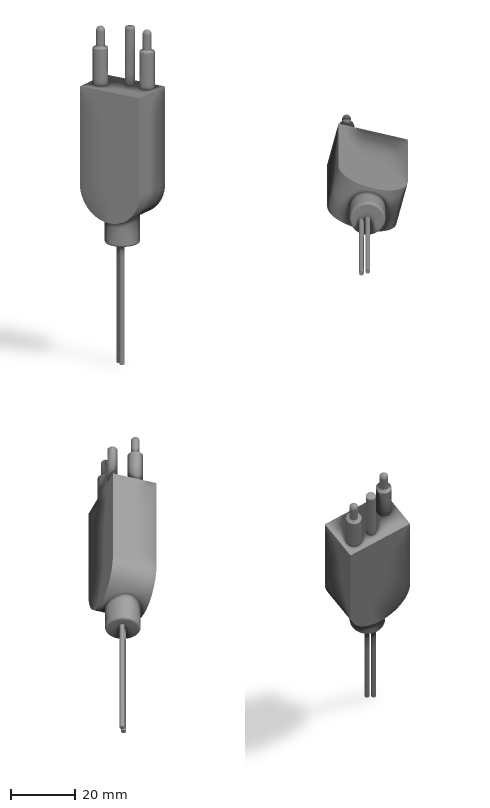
import cadquery as cq
import math

HOUSING_WIDTH = 22.3
HOUSING_DEPTH = 14.5
HOUSING_HEIGHT = 42.9
END_RADIUS = HOUSING_WIDTH / 2

BOOT_DIAMETER = 11.1
BOOT_Y = -0.1
BOOT_DROP = 8.0
BOOT_FILLET = 0.8
BOOT_BOTTOM = -(HOUSING_HEIGHT + BOOT_DROP)

TOTAL_HEIGHT = 109.7
PIN_HEIGHT = 19.0
PIN_ROW_Y = 3.1

SLEEVE_DIAMETER = 4.8
SLEEVE_HEIGHT = 12.0
SHOULDER_RISE = 0.7
TIP_DIAMETER = 2.7
CONTACT_POSITIONS = [(-7.1, -1.6), (7.1, PIN_ROW_Y)]

GUIDE_DIAMETER = 3.2
GUIDE_FILLET = 0.4
GUIDE_X = 0.8

WIRE_DIAMETER = 1.5
WIRE_LENGTH = TOTAL_HEIGHT - PIN_HEIGHT - HOUSING_HEIGHT - BOOT_DROP
WIRE_POSITIONS = [(-1.8, 0.8), (0, -0.3)]


def make_housing():
    arc_start = END_RADIUS - HOUSING_HEIGHT
    return (
        cq.Workplane("XZ")
        .moveTo(-END_RADIUS, 0)
        .lineTo(END_RADIUS, 0)
        .lineTo(END_RADIUS, arc_start)
        .threePointArc((0, -HOUSING_HEIGHT), (-END_RADIUS, arc_start))
        .close()
        .extrude(HOUSING_DEPTH / 2, both=True)
    )


def make_boot(housing):
    """Cylinder whose upper end is shaped to the round end of the housing."""
    height = BOOT_DROP + END_RADIUS
    cylinder = (
        cq.Workplane("XY", origin=(0, BOOT_Y, BOOT_BOTTOM))
        .circle(BOOT_DIAMETER / 2)
        .extrude(height)
        .faces("<Z")
        .edges()
        .fillet(BOOT_FILLET)
    )
    return cylinder.cut(housing)


def make_contact_pin(x, y):
    """Turned pin: sleeve, conical shoulder, thin tip and a hemispherical end."""
    sleeve_radius = SLEEVE_DIAMETER / 2
    tip_radius = TIP_DIAMETER / 2
    dome_start = PIN_HEIGHT - tip_radius
    mid_offset = tip_radius / math.sqrt(2)
    dome_middle = (mid_offset, dome_start + mid_offset)
    half_profile = (
        cq.Workplane("XZ")
        .lineTo(sleeve_radius, 0)
        .lineTo(sleeve_radius, SLEEVE_HEIGHT)
        .lineTo(tip_radius, SLEEVE_HEIGHT + SHOULDER_RISE)
        .lineTo(tip_radius, dome_start)
        .threePointArc(dome_middle, (0, PIN_HEIGHT))
        .close()
    )
    return half_profile.revolve(360, (0, 0), (0, 1)).translate((x, y, 0))


def make_guide_pin():
    return (
        cq.Workplane("XY", origin=(GUIDE_X, PIN_ROW_Y, 0))
        .circle(GUIDE_DIAMETER / 2)
        .extrude(PIN_HEIGHT)
        .faces(">Z")
        .edges()
        .fillet(GUIDE_FILLET)
    )


def make_wire(x, y):
    return cq.Workplane("XY", origin=(x, y, BOOT_BOTTOM)).circle(WIRE_DIAMETER / 2).extrude(-WIRE_LENGTH)


housing = make_housing()
boot = make_boot(housing)
guide_pin = make_guide_pin()
contact_pins = [make_contact_pin(x, y) for x, y in CONTACT_POSITIONS]
wires = [make_wire(x, y) for x, y in WIRE_POSITIONS]

result = cq.Compound.makeCompound(
    [
        housing.val(),
        boot.val(),
        guide_pin.val(),
        *[pin.val() for pin in contact_pins],
        *[wire.val() for wire in wires],
    ]
)